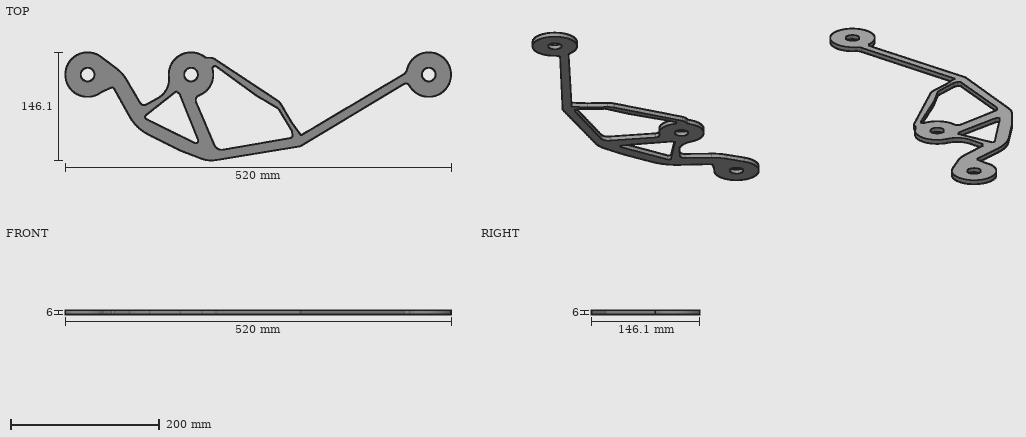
import cadquery as cq

thickness = 6.0
overall_length = 520.0
eye_diameter = 60.5
hole_diameter = 18.0
middle_eye_x = 139.5
right_eye_x = overall_length - eye_diameter
eye_centers = [(0, 0), (middle_eye_x, 0), (right_eye_x, 0)]

left_tangent = (0.6 * eye_diameter / 2, 0.8 * eye_diameter / 2)
web_outline = [
    (0, 0, 0),
    (*left_tangent, 0),
    (47.5, 2.0, 52),
    (74.0, -43.0, 6.0),
    (117.0, -19.0, 0),
    (middle_eye_x, 23.0, 0),
    (168.5, 23.0, 10.5),
    (259.0, -37.0, 21),
    (275.0, -64.5, 0),
    (287.5, -81.5, 0),
    (right_eye_x - 26, 5.0, 0),
    (right_eye_x - 26, -8.5, 0),
    (286.5, -96.5, 4.0),
    (163.0, -117.0, 36.5),
    (125.0, -102.5, 0),
    (65.5, -73.0, 62.5),
    (34.5, -16.5, 3.0),
    (15.5, -25.0, 0),
]
triangle_window = [
    (121.5, -21.0, 3.0),
    (152.0, -95.5, 3.0),
    (75.0, -57.5, 3.0),
]
large_window = [
    (middle_eye_x, -21.0, 0),
    (174.0, -102.5, 10.5),
    (276.5, -85.0, 3.5),
    (275.0, -76.0, 2.5),
    (257.0, -46.0, 6.0),
    (227.5, -28.5, 0),
    (157.5, 22.5, 0),
]

eye_fillets = [
    (18.0, -24.0, 15.5),
    (115.5, -20.0, 28.5),
    (159.0, 23.0, 4.0),
    (167.5, 13.0, 3.0),
    (145.0, -29.5, 7.0),
    (430.0, 2.5, 10.5),
    (431.0, -10.0, 5),
]


def fillet_upright_edge(body, x, y, radius):
    """Round the upright edge closest to (x, y)."""
    nearest = cq.selectors.NearestToPointSelector((x, y, thickness / 2))
    return body.edges("|Z").edges(nearest).fillet(radius)


def rounded_plate(corners):
    """Extrude a polygon and round its corners."""
    points = [(x, y) for x, y, _ in corners]
    plate = cq.Workplane("XY").polyline(points).close().extrude(thickness)
    for x, y, radius in corners:
        if radius > 0:
            plate = fillet_upright_edge(plate, x, y, radius)
    return plate


web = rounded_plate(web_outline)
web = web.cut(rounded_plate(triangle_window))
web = web.cut(rounded_plate(large_window))

eyes = cq.Workplane("XY").pushPoints(eye_centers).circle(eye_diameter / 2).extrude(thickness)
body = web.union(eyes)
for x, y, radius in eye_fillets:
    body = fillet_upright_edge(body, x, y, radius)

holes = cq.Workplane("XY").pushPoints(eye_centers).circle(hole_diameter / 2).extrude(thickness)
result = body.cut(holes)